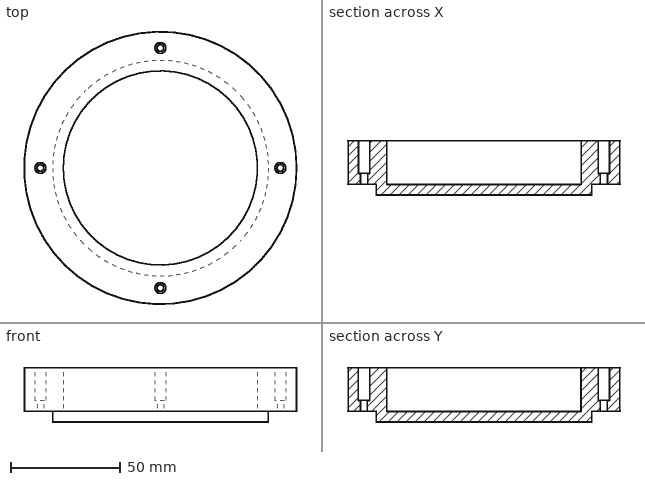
import cadquery as cq

flange_diameter = 125.0
flange_height = 20.0

spigot_diameter = 99.0
spigot_height = 5.0

pocket_diameter = 89.0
pocket_depth = 20.0

screw_count = 4
screw_circle_diameter = 110.0
screw_hole_diameter = 3.0
counterbore_diameter = 5.0
counterbore_depth = 15.0


def make_body():
    """Stepped disc: the spigot stands on Z = 0 and carries the flange."""
    spigot = cq.Workplane("XY").circle(spigot_diameter / 2).extrude(spigot_height)
    return spigot.faces(">Z").workplane().circle(flange_diameter / 2).extrude(flange_height)


def cut_pocket(body):
    """Round blind pocket from the top face."""
    return body.faces(">Z").workplane().hole(pocket_diameter, pocket_depth)


def cut_screw_holes(body):
    """Counterbored holes through the flange, on the X and Y axes."""
    return (
        body.faces(">Z")
        .workplane(origin=(0, 0, 0))
        .polarArray(screw_circle_diameter / 2, 0, 360, screw_count)
        .cboreHole(screw_hole_diameter, counterbore_diameter, counterbore_depth)
    )


result = cut_screw_holes(cut_pocket(make_body()))